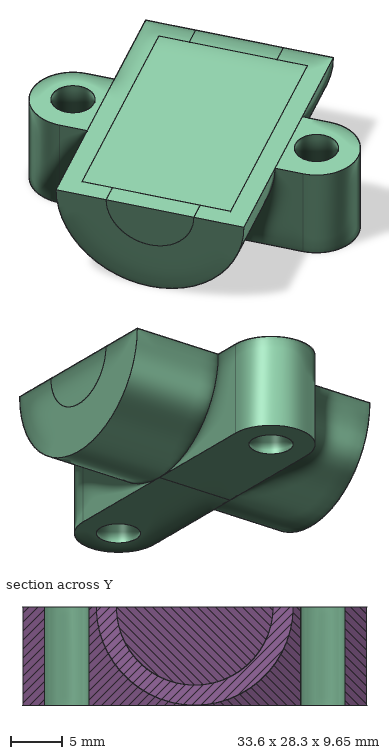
import cadquery as cq

overall_width = 33.6
housing_length = 28.3
housing_radius = 9.65
wall = 2.0
plug_radius = 4.5
ear_hole_diameter = 4.3
ear_radius = 4.3

core_length = housing_length - 2 * wall
core_radius = housing_radius - wall
ear_center_x = overall_width / 2 - ear_radius
plug_center_y = (housing_length - wall) / 2


def half_cylinder(radius, length, center_y=0.0):
    """Lower half of a cylinder along Y, with its flat face at Z = 0."""
    return (
        cq.Workplane("XZ", origin=(0, center_y + length / 2, 0))
        .moveTo(-radius, 0)
        .threePointArc((0, -radius), (radius, 0))
        .close()
        .extrude(length)
    )


def make_core():
    """Half-round core that fills the housing cavity."""
    return half_cylinder(core_radius, core_length)


def make_plug(side):
    """Half-round plug that fills the opening in one end wall."""
    return half_cylinder(plug_radius, wall, side * plug_center_y)


def make_housing():
    """Half-round shell with a core cavity and an opening through each end wall."""
    shell = half_cylinder(housing_radius, housing_length)
    cavity = half_cylinder(core_radius, core_length)
    end_openings = half_cylinder(plug_radius, housing_length)
    return shell.cut(cavity).cut(end_openings).solids()


def make_ear(side):
    """Full-height mounting ear, rounded at its tip and fitted to the housing side."""
    center_x = side * ear_center_x
    base = cq.Workplane("XY", origin=(0, 0, -housing_radius))
    bar = base.center(center_x / 2, 0).rect(ear_center_x, 2 * ear_radius).extrude(housing_radius)
    tip = base.center(center_x, 0).circle(ear_radius).extrude(housing_radius)
    hole = base.center(center_x, 0).circle(ear_hole_diameter / 2).extrude(housing_radius)
    housing_envelope = half_cylinder(housing_radius, housing_length)
    return bar.union(tip).cut(housing_envelope).cut(hole).solids()


housing = make_housing()
core = make_core()
sides = (-1, 1)
plugs = [make_plug(side).val() for side in sides]
ears = [make_ear(side).val() for side in sides]

result = cq.Compound.makeCompound([housing.val(), core.val(), *plugs, *ears])